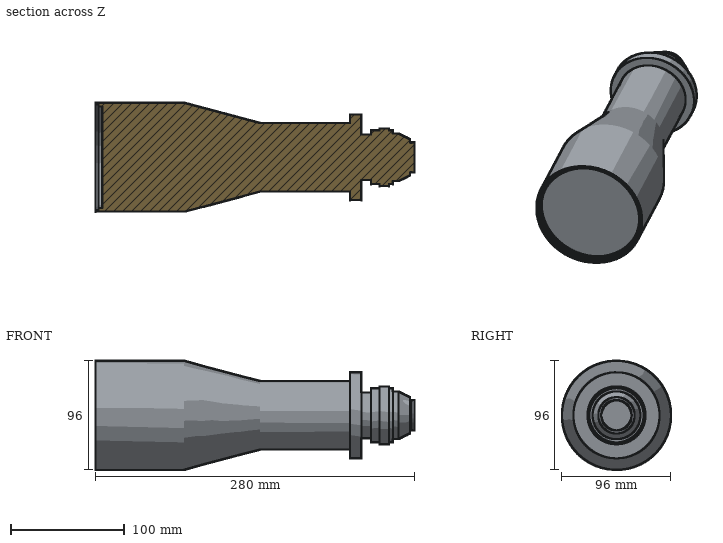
import cadquery as cq

total_length = 280.0

head_radius = 48.02
head_end = 77.8
barrel_radius = 30.2
taper_end = 144.5

flange_radius = 37.8
flange_start = 223.2
flange_end = 233.2
neck_radius = 20.2

collar_radius = 23.8
collar_start = 241.5
collar_end = 261.0
ring_radius = 25.5
ring_start = 249.2
ring_end = 257.5

nose_radius = 21.0
nose_cone_start = 266.0
nose_end = 276.0
nose_end_radius = 16.0
tip_radius = 13.5
groove_radius = 13.0
groove_start = 277.0
groove_end = 277.5

rim_radius = 46.2
rim_depth = 2.5
recess_radius = 44.5
recess_depth = 6.0


def cylinder(start, end, radius):
    """Cylinder on the X axis between two stations."""
    return cq.Workplane("YZ", origin=(start, 0, 0)).circle(radius).extrude(end - start)


def cone(start, end, start_radius, end_radius):
    """Truncated cone on the X axis between two stations."""
    profile = [(start, 0), (start, start_radius), (end, end_radius), (end, 0)]
    return cq.Workplane("XY").polyline(profile).close().revolve(360, (0, 0), (1, 0))


sections = [
    cylinder(0, head_end, head_radius),
    cone(head_end, taper_end, head_radius, barrel_radius),
    cylinder(taper_end, flange_start, barrel_radius),
    cylinder(flange_start, flange_end, flange_radius),
    cylinder(flange_end, collar_start, neck_radius),
    cylinder(collar_start, collar_end, collar_radius),
    cylinder(ring_start, ring_end, ring_radius),
    cylinder(collar_end, nose_cone_start, nose_radius),
    cone(nose_cone_start, nose_end, nose_radius, nose_end_radius),
    cylinder(nose_end, groove_start, tip_radius),
    cylinder(groove_start, groove_end, groove_radius),
    cylinder(groove_end, total_length, tip_radius),
]
result = sections[0]
for section in sections[1:]:
    result = result.union(section)

result = result.cut(cylinder(0, rim_depth, rim_radius))
result = result.cut(cylinder(0, recess_depth, recess_radius))